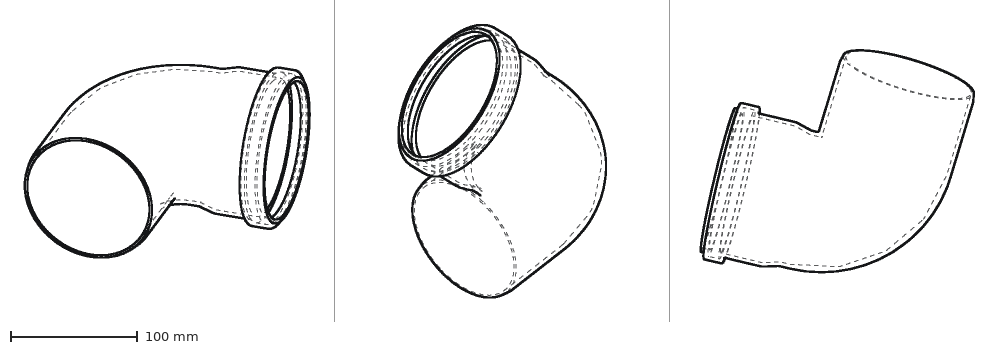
import cadquery as cq
import math


pipe_radius = 110.2 / 2
pipe_bore_radius = 103.2 / 2

spigot_length = 69.4
spigot_chamfer_length = 6.2
spigot_chamfer_depth = 1.3

bend_angle = 87.5
bend_radius = 51.7
inner_corner_fillet = 2.0
corner_block_side = 36.0
corner_block_height = 55.0

socket_wall = 3.2
bell_radius = 117.4 / 2
collar_radius = 127.2 / 2
lip_radius = 117.1 / 2

neck_end = 8.5
bell_start = 21.8
collar_start = 52.5
collar_end = 67.8
socket_end = 71.0
collar_fillet = 1.0
match_tolerance = 0.01

turn = math.radians(bend_angle)
socket_origin = (
    bend_radius * (1 - math.cos(turn)),
    spigot_length + bend_radius * math.sin(turn),
    0,
)
socket_direction = (math.sin(turn), math.cos(turn), 0)
socket_plane = cq.Plane(origin=socket_origin, xDir=socket_direction, normal=(0, 0, 1))


def cylinder_along_y(radius, length):
    """Cylinder on the Y axis, starting at Y = 0."""
    return cq.Workplane("XZ").circle(radius).extrude(-length)


def make_spigot():
    chamfer_face_radius = pipe_radius - spigot_chamfer_depth
    return (
        cq.Workplane("XY")
        .lineTo(chamfer_face_radius, 0)
        .lineTo(pipe_radius, spigot_chamfer_length)
        .lineTo(pipe_radius, spigot_length)
        .lineTo(0, spigot_length)
        .close()
        .revolve(360, (0, 0), (0, 1))
    )


def sweep_bend(sketch):
    """Revolve a cross-section in the spigot end plane about the bend axis."""
    return sketch.revolve(bend_angle, (bend_radius, 0), (bend_radius, -1))


def bend_section():
    """Workplane across the spigot axis, with local y along the bend axis."""
    section_plane = cq.Plane(origin=(0, spigot_length, 0), xDir=(1, 0, 0), normal=(0, -1, 0))
    return cq.Workplane(section_plane)


def make_bend():
    """The pipe radius exceeds the bend radius, so the circle is cut off at the bend axis."""
    half_chord = math.sqrt(pipe_radius**2 - bend_radius**2)
    section = (
        bend_section()
        .moveTo(bend_radius, half_chord)
        .threePointArc((-pipe_radius, 0), (bend_radius, -half_chord))
        .close()
    )
    return sweep_bend(section)


def make_inner_corner():
    """Block of the two crossing pipes at the inside of the bend, with their crease filleted.

    The pipes meet in a crease where the pipe radius exceeds the bend radius. The block is
    high enough for the fillet to run out into the bend at both ends of that crease.
    """
    half_side = corner_block_side / 2
    block = (
        cq.Workplane("XY")
        .box(corner_block_side, corner_block_side, corner_block_height)
        .translate((bend_radius, spigot_length, 0))
    )
    inlet_pipe = cylinder_along_y(pipe_radius, spigot_length + half_side)
    outlet_pipe = revolve_socket([(-corner_block_side, pipe_radius), (corner_block_side, pipe_radius)])
    crossing = inlet_pipe.union(outlet_pipe).intersect(block)
    return crossing.edges("%ELLIPSE").fillet(inner_corner_fillet)


def make_bend_bore():
    return sweep_bend(bend_section().circle(pipe_bore_radius))


def revolve_socket(profile):
    """Revolve (station, radius) points, closed along the socket axis, about that axis."""
    first_station = profile[0][0]
    last_station = profile[-1][0]
    outline = [(first_station, 0)] + profile + [(last_station, 0)]
    return cq.Workplane(socket_plane).polyline(outline).close().revolve(360, (0, 0), (1, 0))


def round_collar(socket):
    """Fillet the outer rims of the collar and the corners where it meets the bell and lip."""
    rims = [
        (collar_start, bell_radius),
        (collar_start, collar_radius),
        (collar_end, collar_radius),
        (collar_end, lip_radius),
    ]

    def is_rim(edge):
        station = socket_plane.toLocalCoords(edge.Center()).x
        return any(
            math.hypot(station - rim_station, edge.radius() - rim_radius) < match_tolerance
            for rim_station, rim_radius in rims
        )

    circles = socket.edges("%CIRCLE").vals()
    rim_edges = [edge for edge in circles if is_rim(edge)]
    return socket.newObject(rim_edges).fillet(collar_fillet)


def make_socket():
    socket = revolve_socket([
        (0, pipe_radius),
        (neck_end, pipe_radius),
        (bell_start, bell_radius),
        (collar_start, bell_radius),
        (collar_start, collar_radius),
        (collar_end, collar_radius),
        (collar_end, lip_radius),
        (socket_end, lip_radius),
    ])
    return round_collar(socket)


def make_socket_bore():
    """Stepped bore with the seal groove inside the collar."""
    bell_bore = bell_radius - socket_wall
    groove_radius = collar_radius - socket_wall
    lip_bore = lip_radius - socket_wall
    groove_start = collar_start + socket_wall
    groove_end = collar_end - socket_wall
    return revolve_socket([
        (0, pipe_bore_radius),
        (neck_end, pipe_bore_radius),
        (bell_start, bell_bore),
        (groove_start, bell_bore),
        (groove_start, groove_radius),
        (groove_end, groove_radius),
        (groove_end, lip_bore),
        (socket_end, lip_bore),
    ])


body = make_spigot().union(make_bend()).union(make_inner_corner()).union(make_socket())
spigot_bore = cylinder_along_y(pipe_bore_radius, spigot_length)

result = body.cut(spigot_bore).cut(make_bend_bore()).cut(make_socket_bore())